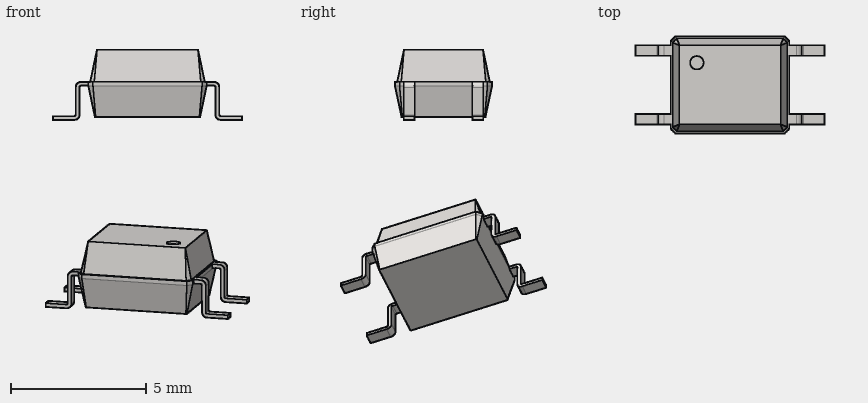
import cadquery as cq
import math

span = 7.0
height = 2.6

band_length = 4.38
band_width = 3.6
band_top = 1.415
band_bottom = 1.27
band_chamfer = 0.175
body_bottom = 0.105
draft_angle = 12.0
upper_length = 4.24
upper_width = 3.43
upper_chamfer = 0.155

mark_diameter = 0.5
mark_depth = 0.1
mark_x = -1.225
mark_y = 0.82

lead_thickness = 0.15
lead_width = 0.4
lead_pitch = 2.54
foot_length = 0.85
inner_bend = 0.05
outer_bend = inner_bend + lead_thickness
lead_embed = 0.21


def chamfered_outline(length, width, chamfer, z):
    """Wire of a rectangle with 45 degree corners at height z."""
    x = length / 2
    y = width / 2
    points = [
        (x - chamfer, y), (x, y - chamfer),
        (x, -y + chamfer), (x - chamfer, -y),
        (-x + chamfer, -y), (-x, -y + chamfer),
        (-x, y - chamfer), (-x + chamfer, y),
    ]
    return cq.Workplane("XY").workplane(offset=z).polyline(points).close().val()


def tapered_half(length, width, chamfer, z_base, z_end):
    """Body half whose eight side faces all lean inwards by the draft angle."""
    inset = abs(z_end - z_base) * math.tan(math.radians(draft_angle))
    end_chamfer = chamfer - inset * (2 - math.sqrt(2))
    base = chamfered_outline(length, width, chamfer, z_base)
    end = chamfered_outline(length - 2 * inset, width - 2 * inset, end_chamfer, z_end)
    return cq.Workplane(cq.Solid.makeLoft([base, end], True))


def make_body():
    band = (
        cq.Workplane("XY", origin=(0, 0, band_bottom))
        .rect(band_length, band_width)
        .extrude(band_top - band_bottom)
        .edges("|Z")
        .chamfer(band_chamfer)
    )
    upper = tapered_half(upper_length, upper_width, upper_chamfer, band_top, height)
    lower = tapered_half(band_length, band_width, band_chamfer, band_bottom, body_bottom)
    mark = (
        cq.Workplane("XY", origin=(mark_x, mark_y, height - mark_depth))
        .circle(mark_diameter / 2)
        .extrude(mark_depth)
    )
    return band.union(upper).union(lower).cut(mark)


def make_lead(y_center):
    """Lead on the -X side: foot, upright and a top arm reaching into the body."""
    tip = -span / 2
    upright_outer = tip + foot_length
    upright_inner = upright_outer + lead_thickness
    arm_end = -band_length / 2 + lead_embed
    profile = [
        (tip, 0),
        (upright_inner, 0),
        (upright_inner, band_top - lead_thickness),
        (arm_end, band_top - lead_thickness),
        (arm_end, band_top),
        (upright_outer, band_top),
        (upright_outer, lead_thickness),
        (tip, lead_thickness),
    ]
    lead = (
        cq.Workplane("XZ", origin=(0, y_center + lead_width / 2, 0))
        .polyline(profile)
        .close()
        .extrude(lead_width)
    )

    def bend(shape, x, z, radius):
        corner = cq.selectors.NearestToPointSelector((x, y_center, z))
        return shape.edges("|Y").edges(corner).fillet(radius)

    lead = bend(lead, upright_inner, 0, outer_bend)
    lead = bend(lead, upright_outer, band_top, outer_bend)
    lead = bend(lead, upright_outer, lead_thickness, inner_bend)
    return bend(lead, upright_inner, band_top - lead_thickness, inner_bend)


result = make_body()
for y_center in (-lead_pitch / 2, lead_pitch / 2):
    left_lead = make_lead(y_center)
    result = result.union(left_lead).union(left_lead.mirror("YZ"))